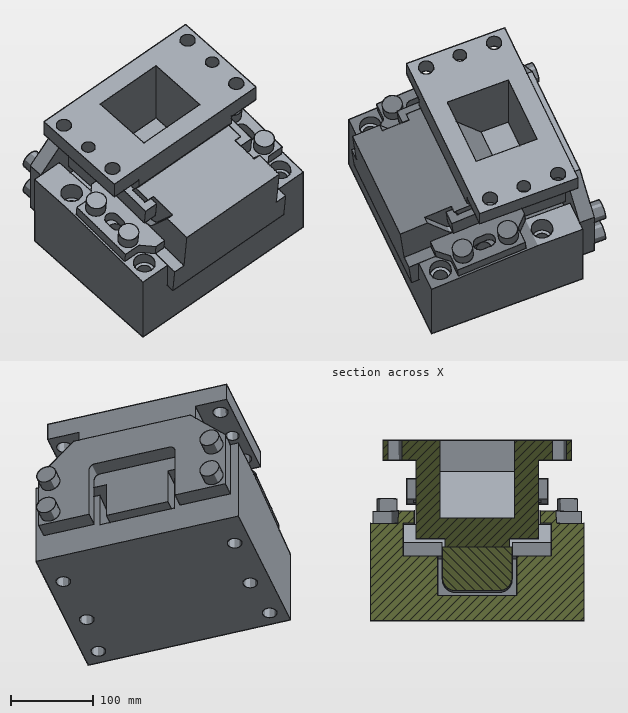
import cadquery as cq
import math


slide_angle = 5.0
slope_start_x = 59.0
base_height = 119.5
slide_sin = math.sin(math.radians(slide_angle))
slide_cos = math.cos(math.radians(slide_angle))
slide_plane = cq.Plane(
    origin=(slope_start_x, 0, base_height),
    xDir=(slide_cos, 0, -slide_sin),
    normal=(slide_sin, 0, slide_cos),
)
slide_location = cq.Location(slide_plane)

base_length = 200.0
base_width = 260.0
overrun = 26.0
channel_depth = 39.8
slot_depth = 48.0
slot_width = 95.7
slot_end_u = 56.2

mount_x = [45.5, 179.7]
mount_y = 110.0
mount_radius = 8.8
mount_head_diameter = 26.3
mount_head_floor = 93.5

rail_slot_y = 105.0
rail_slot_length = 27.8
rail_hole_x = 120.5

plate_thickness = 19.5
plate_bottom = 39.3
plate_top = 164.3
plate_half_width = 119.9
window_half_width = 55.0
window_fillet = 7.8
plate_screw_radius = 12.2
plate_screw_height = 16.5
plate_screw_y = 104.8
plate_screw_z = [54.5, 104.8]

clamp_length = 119.0
clamp_thickness = 15.0
clamp_step = 14.5
clamp_inner = 76.5
clamp_neck = 90.5
clamp_outer = 127.1
clamp_fillet = 3.0
clamp_screw_inset = 29.6
clamp_screw_y = 110.0
clamp_screw_diameter = 24.7
clamp_screw_height = 16.0

wedge_length = 130.0
wedge_half_width = 75.0
wedge_top = 220.0
wedge_bottom = 99.5
wedge_angle = 55.0
heel_z = 182.0
flange_thickness = 24.7
flange_half_width = 115.0
flange_hole_y = 100.4
flange_holes = [(20.3, 18.5), (65.5, 16.5), (110.0, 18.5)]
pocket_front = 24.7
pocket_back = 105.3
pocket_half_width = 45.2
pocket_floor = 118.3
tail_half_width = 39.5
tail_bottom = 49.5

hook_start_u = 16.0
hook_end_u = 91.3
hook_bottom_w = 30.2
hook_top_w = 55.0
hook_inner = 77.5
hook_outer = 86.0
hook_tip = 68.0

slider_end_u = 154.5
slider_top_w = 59.8
slider_flange_half_width = 90.0
toe_x = 69.5
tongue_half_width = 42.6
tongue_length = 31.2
tongue_depth = 42.6
tongue_fillet = 16.5
tongue_top_w = -36.1
groove_center = (142.7, 139.0)
groove_width = 30.5
groove_floor = 66.3


def to_slide(x, z):
    """Return the slide coordinates (u, w) of a point given by X and Z."""
    dx = x - slope_start_x
    dz = z - base_height
    return dx * slide_cos - dz * slide_sin, dx * slide_sin + dz * slide_cos


def from_slide(u, w):
    """Return X and Z of a point given by its slide coordinates."""
    return (
        slope_start_x + u * slide_cos + w * slide_sin,
        base_height - u * slide_sin + w * slide_cos,
    )


def incline_x(z):
    """X of the wedge block's inclined face at height Z."""
    return wedge_length - (heel_z - z) / math.tan(math.radians(wedge_angle))


def incline_u(w):
    """u of the inclined face at slide height w."""
    heel_u, heel_w = to_slide(wedge_length, heel_z)
    return heel_u - (heel_w - w) / math.tan(math.radians(wedge_angle + slide_angle))


def box(x0, x1, y0, y1, z0, z1):
    return cq.Workplane("XY").box(x1 - x0, y1 - y0, z1 - z0, centered=False).translate((x0, y0, z0))


def across(points, y0, y1):
    """Extrude an outline in the XZ plane from y0 to y1."""
    return cq.Workplane("XZ", origin=(0, y1, 0)).polyline(points).close().extrude(y1 - y0)


def on_slide(part):
    """Place a part modelled in slide coordinates."""
    return cq.Workplane(part.val().moved(slide_location))


def mirrored(part):
    return part.mirror("XZ")


def base_block():
    end_z = base_height - (base_length - slope_start_x) * slide_sin / slide_cos
    outline = [(0, 0), (base_length, 0), (base_length, end_z), (slope_start_x, base_height), (0, base_height)]
    return across(outline, -base_width / 2, base_width / 2)


def channel():
    start = -slope_start_x - overrun
    end = slider_end_u + overrun
    half = slider_flange_half_width
    bed = box(start, end, -half, half, -channel_depth, overrun)
    slot = box(start, slot_end_u, -slot_width / 2, slot_width / 2, -channel_depth - slot_depth, 0)
    return on_slide(bed.union(slot))


def front_plate():
    shoulder = wedge_half_width
    outline = [
        (-plate_half_width, plate_bottom),
        (plate_half_width, plate_bottom),
        (plate_half_width, base_height),
        (shoulder, plate_top),
        (-shoulder, plate_top),
        (-plate_half_width, base_height),
    ]
    plate = cq.Workplane("YZ").polyline(outline).close().extrude(-plate_thickness)
    window = box(
        -plate_thickness, 0, -window_half_width, window_half_width, plate_bottom - overrun, base_height
    )
    plate = plate.cut(window.edges("|X and >Z").fillet(window_fillet))
    spots = [(y, z) for y in (-plate_screw_y, plate_screw_y) for z in plate_screw_z]
    screws = (
        cq.Workplane("YZ", origin=(-plate_thickness, 0, 0))
        .pushPoints(spots)
        .circle(plate_screw_radius)
        .extrude(-plate_screw_height)
    )
    return plate.union(screws)


def clamp_rail():
    waist = clamp_neck + clamp_step
    outline = [
        (0, clamp_inner),
        (clamp_length, clamp_inner),
        (clamp_length, clamp_neck),
        (clamp_length - clamp_step, waist),
        (clamp_length - clamp_step, clamp_outer),
        (clamp_step, clamp_outer),
        (clamp_step, waist),
        (0, clamp_neck),
    ]
    rail = cq.Workplane("XY").polyline(outline).close().extrude(clamp_thickness)
    for u in (clamp_step, clamp_length - clamp_step):
        corner = (u, waist, clamp_thickness / 2)
        rail = rail.edges(cq.selectors.NearestToPointSelector(corner)).fillet(clamp_fillet)
    screws = (
        cq.Workplane("XY", origin=(0, 0, clamp_thickness))
        .pushPoints([(u, clamp_screw_y) for u in (clamp_screw_inset, clamp_length - clamp_screw_inset)])
        .circle(clamp_screw_diameter / 2)
        .extrude(clamp_screw_height)
    )
    slot = (
        cq.Workplane("XY")
        .center(clamp_length / 2, rail_slot_y)
        .slot2D(rail_slot_length, 2 * mount_radius)
        .extrude(clamp_thickness)
    )
    return on_slide(rail.union(screws).cut(slot))


def mounting_holes():
    spots = [(x, y) for x in mount_x for y in (-mount_y, mount_y)]
    plan = cq.Workplane("XY").pushPoints(spots)
    shanks = plan.circle(mount_radius).extrude(base_height)
    heads = (
        cq.Workplane("XY", origin=(0, 0, mount_head_floor))
        .pushPoints(spots)
        .circle(mount_head_diameter / 2)
        .extrude(base_height + overrun - mount_head_floor)
    )
    return shanks.union(heads)


def rail_holes():
    """Plain vertical holes in the base that open into the rail slots."""
    return (
        cq.Workplane("XY")
        .pushPoints([(rail_hole_x, -rail_slot_y), (rail_hole_x, rail_slot_y)])
        .circle(mount_radius)
        .extrude(base_height)
    )


def make_base():
    rail = clamp_rail()
    block = base_block().cut(channel()).cut(rail_holes())
    body = block.union(front_plate()).union(rail).union(mirrored(rail))
    return body.cut(mounting_holes())


def groove_outline():
    """Round-ended groove parallel to the inclined face, open at the slider top, in the XZ plane."""
    length = slider_top_w + overrun
    half = groove_width / 2
    return (
        cq.Workplane("XZ")
        .moveTo(0, half)
        .threePointArc((-half, 0), (0, -half))
        .lineTo(length, -half)
        .lineTo(length, half)
        .close()
    )


def groove(y0, y1):
    cutter = groove_outline().extrude(-(y1 - y0)).translate((0, y0, 0))
    cutter = cutter.rotate((0, 0, 0), (0, 1, 0), -wedge_angle)
    return cutter.translate((groove_center[0], 0, groove_center[1]))


def slider_block():
    """Narrow upper part on wide flanges, both starting at the inclined face."""
    foot_u = incline_u(tongue_top_w)
    upper_outline = [
        (incline_u(0), 0),
        (slider_end_u, 0),
        (slider_end_u, slider_top_w),
        (incline_u(slider_top_w), slider_top_w),
    ]
    lower_outline = [
        (foot_u, -channel_depth),
        (slider_end_u, -channel_depth),
        (slider_end_u, 0),
        (incline_u(0), 0),
        (foot_u, tongue_top_w),
    ]
    upper = across(upper_outline, -wedge_half_width, wedge_half_width)
    lower = across(lower_outline, -slider_flange_half_width, slider_flange_half_width)
    return on_slide(upper.union(lower))


def toe_cut():
    """Trims the tip upright on the +Y side of the tongue."""
    return box(0, toe_x, tongue_half_width, slider_flange_half_width, 0, base_height)


def tongue():
    foot_u = incline_u(tongue_top_w)
    bottom_w = -channel_depth - tongue_depth
    half = tongue_half_width
    blade = box(foot_u, foot_u + tongue_length, -half, half, bottom_w, -channel_depth)
    return on_slide(blade.edges("|X and <Z").fillet(tongue_fillet))


def make_slider():
    side_cuts = groove(groove_floor, wedge_half_width + overrun).union(toe_cut())
    return slider_block().cut(side_cuts).cut(mirrored(side_cuts)).union(tongue())


def hook():
    """Bar along the slide with a lip that fills the front of the slider's groove."""
    block = on_slide(box(hook_start_u, hook_end_u, hook_tip, hook_outer, hook_bottom_w, hook_top_w))
    bar = block.intersect(box(0, base_length, hook_inner, hook_outer, 0, wedge_top))
    lip = block.intersect(groove(groove_floor, hook_inner))
    root_outline = [(0, 0), (incline_x(0), 0), (incline_x(wedge_top), wedge_top), (0, wedge_top)]
    root = block.intersect(across(root_outline, wedge_half_width, hook_inner))
    return bar.union(lip).union(root)


def wedge_head():
    """Upper block with the inclined face, and the flange across its top."""
    outline = [
        (0, wedge_bottom),
        (incline_x(wedge_bottom), wedge_bottom),
        (wedge_length, heel_z),
        (wedge_length, wedge_top),
        (0, wedge_top),
    ]
    block = across(outline, -wedge_half_width, wedge_half_width)
    half = flange_half_width
    return block.union(box(0, wedge_length, -half, half, wedge_top - flange_thickness, wedge_top))


def wedge_tail():
    """Narrow tail whose back lies against the inclined face and the front of the tongue."""
    foot_u = incline_u(tongue_top_w)
    foot_x, foot_z = from_slide(foot_u, tongue_top_w)
    outline = [
        (0, tail_bottom),
        (foot_x - (foot_z - tail_bottom) * slide_sin / slide_cos, tail_bottom),
        (foot_x, foot_z),
        (incline_x(wedge_bottom), wedge_bottom),
        (0, wedge_bottom),
    ]
    return across(outline, -tail_half_width, tail_half_width)


def wedge_pocket():
    """Pocket from the top, its lower back wall parallel to the inclined face."""
    foot_x = pocket_back - (heel_z - pocket_floor) / math.tan(math.radians(wedge_angle))
    outline = [
        (pocket_front, pocket_floor),
        (foot_x, pocket_floor),
        (pocket_back, heel_z),
        (pocket_back, wedge_top),
        (pocket_front, wedge_top),
    ]
    return across(outline, -pocket_half_width, pocket_half_width)


def add_flange_holes(body):
    for x, diameter in flange_holes:
        for y in (-flange_hole_y, flange_hole_y):
            hole = cq.Workplane("XY").center(x, y).circle(diameter / 2).extrude(wedge_top)
            body = body.cut(hole)
    return body


def make_wedge():
    body = wedge_head().union(wedge_tail()).cut(wedge_pocket())
    body = add_flange_holes(body)
    side_hook = hook()
    return body.union(side_hook).union(mirrored(side_hook))


base = make_base()
slider = make_slider()
wedge = make_wedge()
result = cq.Compound.makeCompound([*base.solids().vals(), *slider.solids().vals(), *wedge.solids().vals()])